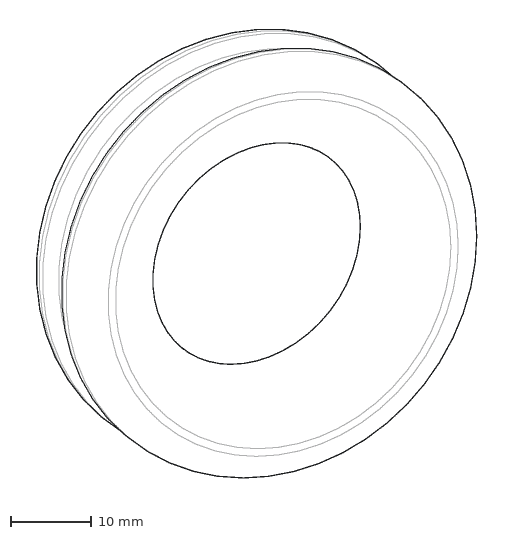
import cadquery as cq
import math

outer_diameter = 56.0
width = 16.0
rim_radius = 4.0
face_land = 1.0
groove_radius = 1.5

outer_radius = outer_diameter / 2
half_width = width / 2
bore_arc_radius = half_width
face_outer_radius = outer_radius - rim_radius
face_inner_radius = face_outer_radius - face_land
bore_radius = face_inner_radius - bore_arc_radius
lip_end_x = 2 * groove_radius
groove_floor_radius = outer_radius - 2 * groove_radius
groove_wall_radius = outer_radius - groove_radius
rim_end_x = half_width - rim_radius
diagonal = math.sqrt(0.5)


def arc_middle(center, radius, x_sign, y_sign):
    """Midpoint of a quarter arc, in the given quadrant about its center."""
    return (
        center[0] + x_sign * radius * diagonal,
        center[1] + y_sign * radius * diagonal,
    )


profile = (
    cq.Workplane("XY")
    .moveTo(-half_width, face_inner_radius)
    .lineTo(-half_width, face_outer_radius)
    .threePointArc(
        arc_middle((-rim_end_x, face_outer_radius), rim_radius, -1, 1),
        (-rim_end_x, outer_radius),
    )
    .lineTo(-lip_end_x, outer_radius)
    .threePointArc(
        arc_middle((-lip_end_x, groove_wall_radius), groove_radius, 1, 1),
        (-groove_radius, groove_wall_radius),
    )
    .threePointArc((0, groove_floor_radius), (groove_radius, groove_wall_radius))
    .threePointArc(
        arc_middle((lip_end_x, groove_wall_radius), groove_radius, -1, 1),
        (lip_end_x, outer_radius),
    )
    .lineTo(rim_end_x, outer_radius)
    .threePointArc(
        arc_middle((rim_end_x, face_outer_radius), rim_radius, 1, 1),
        (half_width, face_outer_radius),
    )
    .lineTo(half_width, face_inner_radius)
    .threePointArc((0, bore_radius), (-half_width, face_inner_radius))
    .close()
)

result = profile.revolve(360, (0, 0, 0), (1, 0, 0))